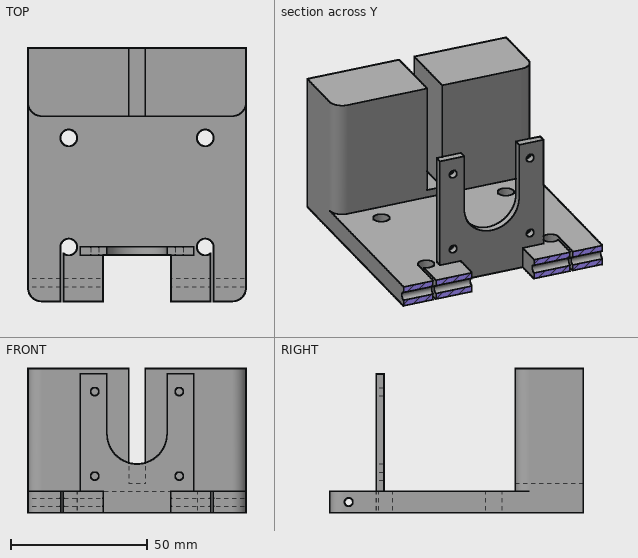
import cadquery as cq

width = 80.0
depth = 93.0
plate_thickness = 8.0
corner_radius = 5.0

block_depth = 25.0
block_height = 53.0
block_slot_width = 6.0
block_slot_floor_z = 11.0

plate_hole_diameter = 6.0
plate_hole_x = 25.0
front_hole_y = 20.0
plate_hole_pitch_y = 40.0
slit_width = 1.0

notch_width = 24.9
bracket_front_y = 17.0
bracket_thickness = 3.0
bracket_width = 41.7
bracket_height = 51.0

bore_diameter = 22.0
bore_z = 29.0
motor_hole_pitch = 31.0
screw_diameter = 3.0

clamp_hole_y = 7.0


def box(x_size, y_start, y_size, z_start, z_size, x_center=0.0):
    """Box centred on x_center, starting at the given Y and Z."""
    return (
        cq.Workplane("XY")
        .box(x_size, y_size, z_size, centered=(True, False, False))
        .translate((x_center, y_start, z_start))
    )


def make_plate():
    plate = box(width, 0, depth, 0, plate_thickness)
    plate = plate.edges("|Z and <Y").fillet(corner_radius)
    return plate.cut(box(notch_width, 0, bracket_front_y, 0, plate_thickness))


def make_block():
    block = box(width, depth - block_depth, block_depth, 0, block_height)
    block = block.edges("|Z and <Y").fillet(corner_radius)
    slot = box(
        block_slot_width,
        depth - block_depth,
        block_depth,
        block_slot_floor_z,
        block_height - block_slot_floor_z,
    )
    return block.cut(slot)


def make_bracket():
    bracket = box(bracket_width, bracket_front_y, bracket_thickness, plate_thickness,
                  bracket_height - plate_thickness)
    bore_plane = cq.Workplane("XZ", origin=(0, bracket_front_y, bore_z))
    bore = bore_plane.circle(bore_diameter / 2).extrude(-bracket_thickness)
    opening = box(bore_diameter, bracket_front_y, bracket_thickness, bore_z, bracket_height - bore_z)
    screws = (
        bore_plane.rect(motor_hole_pitch, motor_hole_pitch, forConstruction=True)
        .vertices()
        .circle(screw_diameter / 2)
        .extrude(-bracket_thickness)
    )
    return bracket.cut(bore).cut(opening).cut(screws)


def make_plate_holes():
    hole_center_y = front_hole_y + plate_hole_pitch_y / 2
    return (
        cq.Workplane("XY", origin=(0, hole_center_y, 0))
        .rect(2 * plate_hole_x, plate_hole_pitch_y, forConstruction=True)
        .vertices()
        .circle(plate_hole_diameter / 2)
        .extrude(plate_thickness)
    )


def make_slit(side):
    """Slit whose outer wall is tangent to the outer side of the front hole."""
    slit_x = plate_hole_x + plate_hole_diameter / 2 - slit_width / 2
    return box(slit_width, 0, front_hole_y, 0, plate_thickness, side * slit_x)


def make_clamp_hole():
    return (
        cq.Workplane("YZ", origin=(-width / 2, clamp_hole_y, plate_thickness / 2))
        .circle(screw_diameter / 2)
        .extrude(width)
    )


result = make_plate().union(make_block()).union(make_bracket())
result = result.cut(make_plate_holes()).cut(make_clamp_hole())
for side in (-1, 1):
    result = result.cut(make_slit(side))